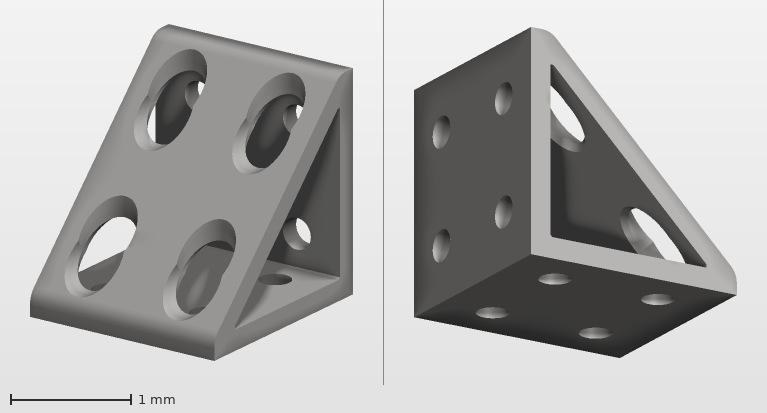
import cadquery as cq

width = 1.875
leg = 2.0
wall = 0.188

leg_end = wall
end_radius = 0.19
cavity_leg = 1.705
cavity_end = 0.03
inner_chamfer = 0.018

hole_pitch = 1.0
hole_diameter = 0.282
access_diameter = 0.5
hole_columns = [width / 2 - hole_pitch / 2, width / 2 + hole_pitch / 2]
hole_rows = [leg / 2 - hole_pitch / 2, leg / 2 + hole_pitch / 2]


def truncated_triangle(corner, far, end_flat):
    """Right triangle prism with blunted tips; the right angle is at the back bottom edge."""
    outline = [
        (leg - corner, corner),
        (leg - corner, far),
        (leg - corner - end_flat, far),
        (leg - far, corner + end_flat),
        (leg - far, corner),
    ]
    return cq.Workplane("YZ").polyline(outline).close().extrude(width)


def make_body():
    """Triangular frame with rounded outer tips and a bevelled inner corner."""
    body = truncated_triangle(0, leg, leg_end)
    tips = [(width / 2, leg - leg_end, leg), (width / 2, 0, leg_end)]
    for tip in tips:
        body = body.edges(cq.selectors.NearestToPointSelector(tip)).fillet(end_radius)
    opening = truncated_triangle(wall, cavity_leg, cavity_end)
    inner_corner = cq.selectors.NearestToPointSelector((width / 2, leg - wall, wall))
    opening = opening.edges(inner_corner).chamfer(inner_chamfer)
    return body.cut(opening)


def back_leg_cutter(x, z):
    """Screw hole along Y, with access through the web as far as the back wall."""
    forward = cq.Vector(0, 1, 0)
    start = cq.Vector(x, 0, z)
    access = cq.Solid.makeCylinder(access_diameter / 2, leg - wall, start, forward)
    hole = cq.Solid.makeCylinder(hole_diameter / 2, leg, start, forward)
    return access.fuse(hole)


def bottom_leg_cutter(x, y):
    """Screw hole along Z, with access through the web as far as the floor."""
    upward = cq.Vector(0, 0, 1)
    access = cq.Solid.makeCylinder(access_diameter / 2, leg - wall, cq.Vector(x, y, wall), upward)
    hole = cq.Solid.makeCylinder(hole_diameter / 2, leg, cq.Vector(x, y, 0), upward)
    return access.fuse(hole)


result = make_body()
for column in hole_columns:
    for row in hole_rows:
        result = result.cut(back_leg_cutter(column, row))
        result = result.cut(bottom_leg_cutter(column, row))